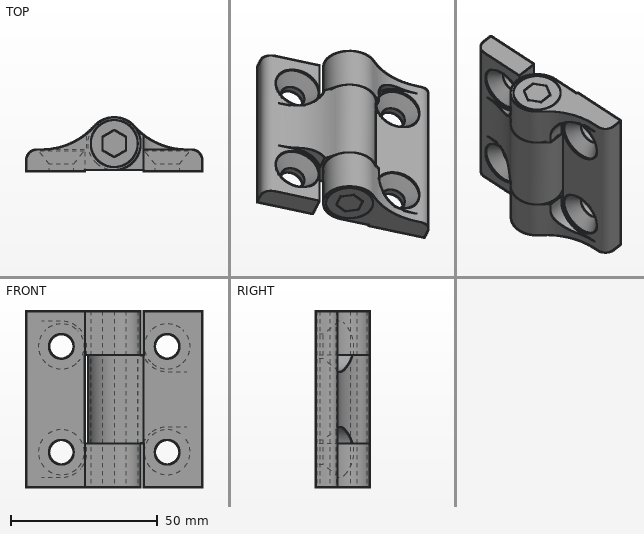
import math
import cadquery as cq

hinge_width = 60.0
hinge_height = 60.0
half_width = hinge_width / 2
half_height = hinge_height / 2

plate_width = 20.0
plate_thickness = 7.5
plate_edge_radius = 3.7

knuckle_radius = 9.0
knuckle_relief = 0.5
knuckle_flank_radius = 24.0
middle_knuckle_height = 30.0
axis_y = knuckle_relief + knuckle_radius
joint_z = middle_knuckle_height / 2

hole_spacing = 36.0
hole_diameter = 8.3
hole_straight_depth = 2.5
sink_diameter = 15.5
sink_rim_depth = 0.5
head_clearance_radius = 8.65
hole_x = -hole_spacing / 2
hole_z = hole_spacing / 2

bush_diameter = 16.0
hex_across_flats = 8.0


def plate():
    """Flat leaf plate on the -X side with its outer front edge rounded."""
    block = cq.Workplane("XY").box(plate_width, plate_thickness, hinge_height, centered=(False, False, True))
    block = block.translate((-half_width, 0, 0))
    return block.edges("<X and >Y").fillet(plate_edge_radius)


def knuckle(z_bottom, z_top):
    """Knuckle with the flank that blends it tangentially into the plate on the -X side."""
    flank_center_y = plate_thickness + knuckle_flank_radius
    center_distance = knuckle_radius + knuckle_flank_radius
    tangent_angle = math.asin((flank_center_y - axis_y) / center_distance)
    flank_center_x = -center_distance * math.cos(tangent_angle)
    tangent_point = (
        -knuckle_radius * math.cos(tangent_angle),
        axis_y + knuckle_radius * math.sin(tangent_angle),
    )
    flank_mid_angle = (tangent_angle + math.pi / 2) / 2
    flank_mid = (
        flank_center_x + knuckle_flank_radius * math.cos(flank_mid_angle),
        flank_center_y - knuckle_flank_radius * math.sin(flank_mid_angle),
    )
    return (
        cq.Workplane("XY", origin=(0, 0, z_bottom))
        .moveTo(0, knuckle_relief)
        .lineTo(flank_center_x, knuckle_relief)
        .lineTo(flank_center_x, plate_thickness)
        .threePointArc(flank_mid, tangent_point)
        .threePointArc((0, axis_y + knuckle_radius), (knuckle_radius, axis_y))
        .radiusArc((0, knuckle_relief), knuckle_radius)
        .close()
        .extrude(z_top - z_bottom)
    )


def screw_hole(z_center):
    """Through hole that widens by a cone to a short cylindrical rim at the plate front."""
    hole_radius = hole_diameter / 2
    sink_radius = sink_diameter / 2
    return (
        cq.Workplane("XY")
        .polyline([
            (0, 0),
            (hole_radius, 0),
            (hole_radius, hole_straight_depth),
            (sink_radius, plate_thickness - sink_rim_depth),
            (sink_radius, plate_thickness),
            (0, plate_thickness),
        ])
        .close()
        .revolve(360, (0, 0), (0, 1))
        .translate((hole_x, 0, z_center))
    )


def head_clearance(z_center, wing_direction):
    """Rounded-corner space above the plate that clears a screw head from the knuckle flank.

    wing_direction is the Z direction, +1 or -1, in which the flank continues past the hole.
    """
    closed_z = z_center + wing_direction * head_clearance_radius
    open_z = z_center - wing_direction * head_clearance_radius
    wall_x = hole_x + head_clearance_radius
    corner_offset = head_clearance_radius * math.sqrt(0.5)
    return (
        cq.Workplane("XZ", origin=(0, plate_thickness, 0))
        .moveTo(-half_width, open_z)
        .lineTo(-half_width, closed_z)
        .lineTo(hole_x, closed_z)
        .threePointArc(
            (hole_x + corner_offset, z_center + wing_direction * corner_offset),
            (wall_x, z_center),
        )
        .lineTo(wall_x, open_z)
        .close()
        .extrude(-2 * knuckle_radius)
    )


def pivot_cylinder(diameter):
    """Full-height cylinder on the pivot axis."""
    return cq.Workplane("XY", origin=(0, axis_y, -half_height)).circle(diameter / 2).extrude(hinge_height)


def leaf(knuckle_spans, flank_outside_hole):
    """Leaf on the -X side; flank_outside_hole is +1 for knuckles at the ends and -1 for one in the middle."""
    body = plate()
    for z_bottom, z_top in knuckle_spans:
        body = body.union(knuckle(z_bottom, z_top))
    for end in (1, -1):
        body = body.cut(head_clearance(end * hole_z, end * flank_outside_hole))
        body = body.cut(screw_hole(end * hole_z))
    return body.cut(pivot_cylinder(bush_diameter))


def hex_prism():
    """Full-height hexagonal prism on the pivot axis with two corners along Y."""
    corner_diameter = hex_across_flats / math.cos(math.pi / 6)
    return (
        cq.Workplane("XY")
        .polygon(6, corner_diameter)
        .extrude(hinge_height)
        .rotate((0, 0, 0), (0, 0, 1), 90)
        .translate((0, axis_y, -half_height))
    )


end_knuckle_spans = [(joint_z, half_height), (-half_height, -joint_z)]
middle_knuckle_spans = [(-joint_z, joint_z)]
end_knuckle_leaf = leaf(end_knuckle_spans, 1)
middle_knuckle_leaf = leaf(middle_knuckle_spans, -1).mirror("YZ")
hex_core = hex_prism()
pivot_bush = pivot_cylinder(bush_diameter).cut(hex_core)

result = cq.Compound.makeCompound([
    end_knuckle_leaf.val(),
    middle_knuckle_leaf.val(),
    pivot_bush.val(),
    hex_core.val(),
])